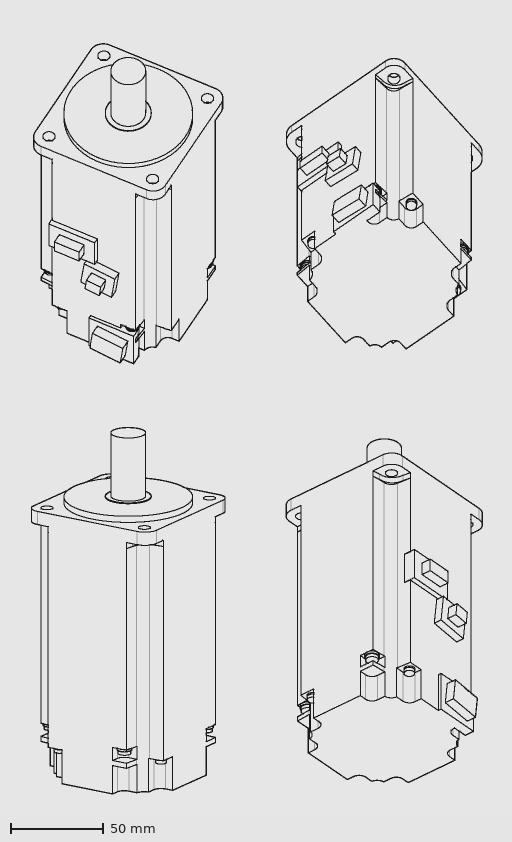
import cadquery as cq
import math

TOTAL_HEIGHT = 192.3
SHAFT_LENGTH = 40.0
SHAFT_DIAMETER = 19.0
COLLAR_DIAMETER = 25.0
COLLAR_HEIGHT = 0.5
PILOT_DIAMETER = 70.0
PILOT_HEIGHT = 3.5
FLANGE_THICKNESS = 7.5
FLANGE_CORNER_RADIUS = 7.5
BOLT_CIRCLE_DIAMETER = 90.0
BOLT_HOLE_DIAMETER = 6.6

BODY_SIZE = 80.0
HALF_BODY = BODY_SIZE / 2
FLANGE_TOP = TOTAL_HEIGHT - SHAFT_LENGTH
FLANGE_BOTTOM = FLANGE_TOP - FLANGE_THICKNESS

GROOVE_MOUTH = 25.6
GROOVE_ROOT = 26.3
GROOVE_ARC_CENTER = 31.4
NECK_HEIGHT = 3.5
NECK_ARC_CENTER = 35.2

POCKET_NEAR = 21.15
POCKET_FAR = 35.5
POCKET_RADIUS = 4.6
LOW_POCKET_HEIGHT = 19.2
HIGH_POCKET_HEIGHT = 26.5
SHELF_BOTTOM = 16.2
SHELF_TOP = 19.1

LOW_WASHER_DIAMETER = 6.0
LOW_WASHER_THICKNESS = 0.9
LOW_HEAD_DIAMETER = 5.8
LOW_HEAD_HEIGHT = 2.0

HIGH_WASHER_DIAMETER = 8.0
HIGH_WASHER_THICKNESS = 1.4
HIGH_WASHER_OVERHANG = 0.22
HIGH_HEAD_DIAMETER = 7.0
HIGH_HEAD_HEIGHT = 2.0
HIGH_BOLT_NEAR = 21.7
HIGH_BOLT_FAR = HALF_BODY + HIGH_WASHER_OVERHANG - HIGH_WASHER_DIAMETER / 2

PLUG_PROJECTION = 5.8
CONNECTOR_EMBED = 4.0
CONNECTOR_TILT = 7.0

UPPER_BASE_LEFT = -26.0
UPPER_BASE_RIGHT = 2.2
UPPER_BASE_BOTTOM = 73.7
UPPER_BASE_TOP = 92.4
UPPER_BASE_HEIGHT = 3.1
UPPER_PLUG_SIZE = (15.2, 7.6)

MIDDLE_CENTER = (5.0, 63.2)
MIDDLE_BASE_SIZE = (19.0, 17.0)
MIDDLE_BASE_HEIGHT = 4.8
MIDDLE_PLUG_SIZE = (8.8, 7.8)

LOWER_BASE_LEFT = -2.0
LOWER_BASE_RIGHT = 25.5
LOWER_BASE_TOP = 23.7
LOWER_BASE_HEIGHT = 1.9
LOWER_PLUG_SIZE = (18.8, 13.6)


def cylinder(diameter, bottom, top, x=0, y=0):
    """Vertical cylinder between two heights."""
    return cq.Workplane("XY", origin=(x, y, bottom)).circle(diameter / 2).extrude(top - bottom)


def at_corners(solid):
    """Four copies of a solid, a quarter turn apart about the shaft axis."""
    copies = [solid.rotate((0, 0, 0), (0, 0, 1), 90 * turn) for turn in range(4)]
    joined = copies[0]
    for copy in copies[1:]:
        joined = joined.union(copy)
    return joined


def make_flanged_block():
    """Square body with the mounting flange on top."""
    body = cq.Workplane("XY").rect(BODY_SIZE, BODY_SIZE).extrude(FLANGE_BOTTOM)
    flange = (
        cq.Workplane("XY", origin=(0, 0, FLANGE_BOTTOM))
        .rect(BODY_SIZE, BODY_SIZE)
        .extrude(FLANGE_THICKNESS)
        .edges("|Z")
        .fillet(FLANGE_CORNER_RADIUS)
    )
    return body.union(flange)


def groove_cutter(arc_center, bottom, top):
    """Corner groove at (-X, -Y): two slanted walls joined by a concave arc."""
    radius = arc_center - GROOVE_ROOT
    arc_middle = -arc_center + radius * math.sqrt(0.5)
    return (
        cq.Workplane("XY", origin=(0, 0, bottom))
        .moveTo(-HALF_BODY, -HALF_BODY)
        .lineTo(-GROOVE_MOUTH, -HALF_BODY)
        .lineTo(-GROOVE_ROOT, -arc_center)
        .threePointArc((arc_middle, arc_middle), (-arc_center, -GROOVE_ROOT))
        .lineTo(-HALF_BODY, -GROOVE_MOUTH)
        .close()
        .extrude(top - bottom)
    )


def pocket_cutter(bottom, top):
    """Pocket in the -Y face beside the (-X, -Y) groove, with one rounded inner corner."""
    right = -POCKET_NEAR + POCKET_RADIUS
    inner = -POCKET_FAR + POCKET_RADIUS
    diagonal = POCKET_RADIUS * math.sqrt(0.5)
    return (
        cq.Workplane("XY", origin=(0, 0, bottom))
        .moveTo(-GROOVE_ARC_CENTER, -HALF_BODY)
        .lineTo(right, -HALF_BODY)
        .lineTo(right, -POCKET_FAR)
        .threePointArc((-POCKET_NEAR + diagonal, -POCKET_FAR + diagonal), (-POCKET_NEAR, inner))
        .lineTo(-GROOVE_ARC_CENTER, inner)
        .close()
        .extrude(top - bottom)
    )


def mirrored_pocket_cutter(bottom, top):
    """The same pocket on the -X face side of the groove."""
    return pocket_cutter(bottom, top).mirror("XZ").rotate((0, 0, 0), (0, 0, 1), 90)


def hanging_bolt(x, y, ceiling, washer_diameter, washer_thickness, head_diameter, head_height):
    """Washer and bolt head hanging from the ceiling of a pocket."""
    washer_bottom = ceiling - washer_thickness
    washer = cylinder(washer_diameter, washer_bottom, ceiling, x, y)
    head = cylinder(head_diameter, washer_bottom - head_height, washer_bottom, x, y)
    return washer.union(head)


def front_block(center, size, depth_start, depth_end, tilt=0):
    """Block on the -Y side; center and size are (x, z), depths are distances from the axis."""
    return (
        cq.Workplane("XZ", origin=(center[0], -depth_start, center[1]))
        .transformed(rotate=(0, 0, -tilt))
        .rect(*size)
        .extrude(depth_end - depth_start)
    )


def make_connector(base_center, base_size, base_tilt, base_height, plug_center, plug_size, plug_tilt):
    """Base plate set into the -Y face with a plug standing on it."""
    base_end = HALF_BODY + base_height
    base = front_block(base_center, base_size, HALF_BODY - CONNECTOR_EMBED, base_end, base_tilt)
    plug = front_block(plug_center, plug_size, base_end, base_end + PLUG_PROJECTION, plug_tilt)
    return base.union(plug)


def make_connectors():
    upper_center = (
        (UPPER_BASE_LEFT + UPPER_BASE_RIGHT) / 2,
        (UPPER_BASE_BOTTOM + UPPER_BASE_TOP) / 2,
    )
    upper_size = (UPPER_BASE_RIGHT - UPPER_BASE_LEFT, UPPER_BASE_TOP - UPPER_BASE_BOTTOM)
    lower_center = ((LOWER_BASE_LEFT + LOWER_BASE_RIGHT) / 2, LOWER_BASE_TOP / 2)
    lower_size = (LOWER_BASE_RIGHT - LOWER_BASE_LEFT, LOWER_BASE_TOP)
    upper = make_connector(
        upper_center, upper_size, 0, UPPER_BASE_HEIGHT, upper_center, UPPER_PLUG_SIZE, 0
    )
    middle = make_connector(
        MIDDLE_CENTER, MIDDLE_BASE_SIZE, CONNECTOR_TILT, MIDDLE_BASE_HEIGHT,
        MIDDLE_CENTER, MIDDLE_PLUG_SIZE, CONNECTOR_TILT,
    )
    lower = make_connector(
        lower_center, lower_size, 0, LOWER_BASE_HEIGHT, lower_center, LOWER_PLUG_SIZE, CONNECTOR_TILT
    )
    return upper.union(middle).union(lower)


neck_bottom = FLANGE_BOTTOM - NECK_HEIGHT
corner_cut = (
    groove_cutter(GROOVE_ARC_CENTER, 0, neck_bottom)
    .union(groove_cutter(NECK_ARC_CENTER, neck_bottom, FLANGE_BOTTOM))
    .union(pocket_cutter(0, LOW_POCKET_HEIGHT))
    .union(mirrored_pocket_cutter(0, SHELF_BOTTOM))
    .union(mirrored_pocket_cutter(SHELF_TOP, HIGH_POCKET_HEIGHT))
)
result = make_flanged_block().cut(at_corners(corner_cut))

low_bolt = hanging_bolt(
    -POCKET_NEAR, -POCKET_FAR, LOW_POCKET_HEIGHT,
    LOW_WASHER_DIAMETER, LOW_WASHER_THICKNESS, LOW_HEAD_DIAMETER, LOW_HEAD_HEIGHT,
)
high_bolt = hanging_bolt(
    -HIGH_BOLT_FAR, -HIGH_BOLT_NEAR, HIGH_POCKET_HEIGHT,
    HIGH_WASHER_DIAMETER, HIGH_WASHER_THICKNESS, HIGH_HEAD_DIAMETER, HIGH_HEAD_HEIGHT,
)
result = result.union(at_corners(low_bolt)).union(at_corners(high_bolt))

pilot_top = FLANGE_TOP + PILOT_HEIGHT
collar_top = pilot_top + COLLAR_HEIGHT
result = (
    result.union(cylinder(PILOT_DIAMETER, FLANGE_TOP, pilot_top))
    .union(cylinder(COLLAR_DIAMETER, pilot_top, collar_top))
    .union(cylinder(SHAFT_DIAMETER, collar_top, TOTAL_HEIGHT))
)

hole_offset = BOLT_CIRCLE_DIAMETER / 2 * math.sqrt(0.5)
bolt_hole = cylinder(BOLT_HOLE_DIAMETER, FLANGE_BOTTOM, FLANGE_TOP, -hole_offset, -hole_offset)
result = result.cut(at_corners(bolt_hole))

result = result.union(make_connectors())